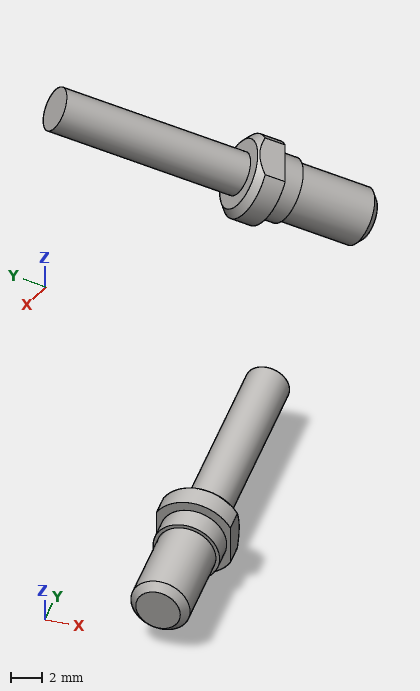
import cadquery as cq

plug_diameter = 4.0
plug_length = 6.0
plug_chamfer = 0.5

shoulder_diameter = 4.5
shoulder_length = 1.5

collar_diameter = 5.8
collar_length = 2.0
collar_chamfer = 0.5
collar_across_flats = 5.0

tail_diameter = 3.0
tail_length = 13.75

shoulder_start = -shoulder_length
plug_start = shoulder_start - plug_length


def cylinder(diameter, start, length):
    """Solid cylinder on the Y axis running from Y = start toward +Y."""
    plane = cq.Plane(origin=(0, start, 0), xDir=(1, 0, 0), normal=(0, 1, 0))
    return cq.Workplane(plane).circle(diameter / 2).extrude(length)


def make_plug():
    """Plug with its free end chamfered."""
    return cylinder(plug_diameter, plug_start, plug_length).faces("<Y").chamfer(plug_chamfer)


def make_collar():
    """Collar chamfered on the tail side, then flatted on its -X and +X sides."""
    collar = cylinder(collar_diameter, 0, collar_length).faces(">Y").chamfer(collar_chamfer)
    flats_envelope = cq.Workplane("XY").box(
        collar_across_flats,
        collar_length,
        collar_diameter,
        centered=(True, False, True),
    )
    return collar.intersect(flats_envelope)


shoulder = cylinder(shoulder_diameter, shoulder_start, shoulder_length)
tail = cylinder(tail_diameter, collar_length, tail_length)

result = make_plug().union(shoulder).union(make_collar()).union(tail)